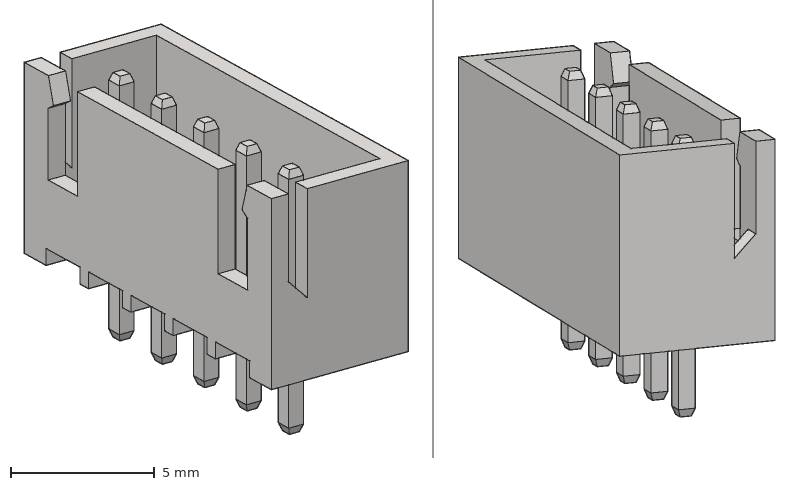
import cadquery as cq

PIN_COUNT = 5
PITCH = 2.54
PIN_WIDTH = 0.635
PIN_TIP_WIDTH = 0.42
PIN_TIP_LENGTH = 0.3
PIN_TAIL = 2.99
PIN_TOP_RECESS = 0.21

LENGTH = 14.83
DEPTH = 5.84
HEIGHT = 7.22
FRONT_Y = -2.49
BACK_Y = FRONT_Y + DEPTH
FRONT_WALL = 0.73
WALL = 0.71
FLOOR = 0.7

SLOT_WIDTH = 0.8
SLOT_DEPTH = 4.12

WINDOW_WIDTH = 1.76
WINDOW_DEPTH = 3.95
WINDOW_OFFSET = 1.44
LATCH_REACH = 0.32
LATCH_TOP_INSET = 0.02
LATCH_TIP_DEPTH = 1.03
LATCH_BASE_DEPTH = 1.24

RELIEF_WIDTH = 2.03
RELIEF_HEIGHT = 0.64
RELIEF_BACK_Y = -PIN_WIDTH / 2

PIN_POSITIONS = [(i - (PIN_COUNT - 1) / 2) * PITCH for i in range(PIN_COUNT)]


def block(x_min, x_max, y_min, y_max, z_min, z_max):
    """Axis-aligned box given by its limits."""
    size = (x_max - x_min, y_max - y_min, z_max - z_min)
    return cq.Workplane("XY").box(*size, centered=False).translate((x_min, y_min, z_min))


def make_shell():
    """Open-topped box."""
    half = LENGTH / 2
    outer = block(-half, half, FRONT_Y, BACK_Y, 0, HEIGHT)
    inner_half = half - WALL
    cavity = block(
        -inner_half, inner_half, FRONT_Y + FRONT_WALL, BACK_Y - WALL, FLOOR, HEIGHT
    )
    return outer.cut(cavity)


def make_end_slots():
    """Slots through both end walls, with a 45 degree bottom falling away from the front wall."""
    slot_front = FRONT_Y + FRONT_WALL
    slot_back = slot_front + SLOT_WIDTH
    slot_bottom = HEIGHT - SLOT_DEPTH
    outline = [
        (slot_front, HEIGHT),
        (slot_front, slot_bottom + SLOT_WIDTH),
        (slot_back, slot_bottom),
        (slot_back, HEIGHT),
    ]
    return cq.Workplane("YZ").polyline(outline).close().extrude(LENGTH / 2, both=True)


def make_latch_windows():
    """Mirrored pair of front-wall windows, each narrowed at its outer edge by a latch bump."""
    outer_x = -LENGTH / 2 + WINDOW_OFFSET
    inner_x = outer_x + WINDOW_WIDTH
    outline = [
        (outer_x + LATCH_TOP_INSET, HEIGHT),
        (outer_x + LATCH_REACH, HEIGHT - LATCH_TIP_DEPTH),
        (outer_x, HEIGHT - LATCH_BASE_DEPTH),
        (outer_x, HEIGHT - WINDOW_DEPTH),
        (inner_x, HEIGHT - WINDOW_DEPTH),
        (inner_x, HEIGHT),
    ]
    front_plane = cq.Workplane("XZ", origin=(0, FRONT_Y, 0))
    window = front_plane.polyline(outline).close().extrude(-FRONT_WALL)
    return window.union(window.mirror("YZ"))


def make_relief(x):
    """Wedge to cut from under the front of the housing at one pin."""
    outline = [
        (FRONT_Y, 0),
        (FRONT_Y, RELIEF_HEIGHT),
        (RELIEF_BACK_Y, 0),
    ]
    wedge = cq.Workplane("YZ").polyline(outline).close().extrude(RELIEF_WIDTH / 2, both=True)
    return wedge.translate((x, 0, 0))


def make_pin(x):
    """Square pin with a tapered tip at each end."""
    shaft_bottom = -PIN_TAIL + PIN_TIP_LENGTH
    shaft_top = HEIGHT - PIN_TOP_RECESS - PIN_TIP_LENGTH
    half = PIN_WIDTH / 2
    pin = block(-half, half, -half, half, shaft_bottom, shaft_top)
    for shaft_end, direction in ((shaft_bottom, -1), (shaft_top, 1)):
        tip = (
            cq.Workplane("XY", origin=(0, 0, shaft_end))
            .rect(PIN_WIDTH, PIN_WIDTH)
            .workplane(offset=direction * PIN_TIP_LENGTH)
            .rect(PIN_TIP_WIDTH, PIN_TIP_WIDTH)
            .loft(ruled=True)
        )
        pin = pin.union(tip)
    return pin.translate((x, 0, 0))


connector = make_shell().cut(make_end_slots()).cut(make_latch_windows())
for pin_x in PIN_POSITIONS:
    connector = connector.cut(make_relief(pin_x))
for pin_x in PIN_POSITIONS:
    connector = connector.union(make_pin(pin_x))

result = connector